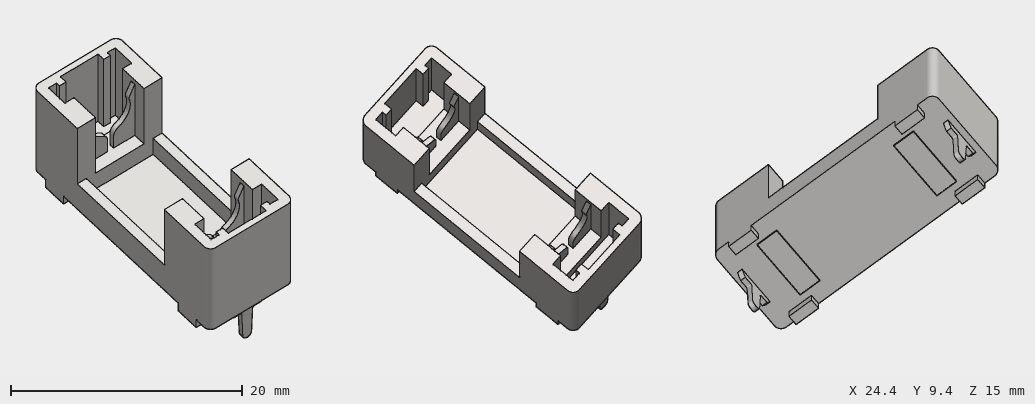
import math
import cadquery as cq

LENGTH = 24.4
WIDTH = 9.4
HEIGHT = 10.5
CORNER_RADIUS = 0.73
WALL = 1.0
TRAY_FLOOR_TOP = 1.22
SILL_TOP = 3.3
GAP_LENGTH = 12.0

POCKET_FLOOR_TOP = 1.73
POCKET_INNER_X = 8.95
POCKET_OUTER_X = 11.22
RECESS_OUTER_X = 11.6
RECESS_WIDTH = 4.17
THROAT_WIDTH = 5.37
RIB_INNER_X = 10.8
RIB_WIDTH = 0.73

FOOT_INNER_X = 7.9
FOOT_LENGTH = 2.5
FOOT_HEIGHT = 1.0

CONTACT_THICKNESS = 0.51
CONTACT_INNER_X = 7.27
CAP_RADIUS = 2.2
CAP_CENTRE_Z = 7.69
SLIT_WIDTH = 0.65
SLIT_ROUND = 1.0
LIP_ROUND = 0.5
LIP_HALF_OPENING = 2.05
LIP_ANGLE = math.radians(63)

PAD_THICKNESS = 0.2
PAD_INNER_X = 6.45
PAD_WIDTH = 6.0

PIN_OUTER_X = 11.6
PIN_LENGTH = 4.51
SHOULDER_WIDTH = 3.9
SHOULDER_END_WIDTH = 3.03
SHOULDER_DEPTH = 0.95
PIN_ROOT_WIDTH = 1.22
PIN_ROOT_ROUND = 0.12
PIN_TIP_RADIUS = 0.5

POCKET_WIDTH = WIDTH - 2 * WALL
GAP_HALF = GAP_LENGTH / 2


def block(x_range, y_range, z_range):
    """Box between the given limits."""
    (x0, x1), (y0, y1), (z0, z1) = x_range, y_range, z_range
    return cq.Workplane("XY").box(x1 - x0, y1 - y0, z1 - z0, centered=False).translate((x0, y0, z0))


def centred_block(x_range, width, z_range):
    """Box centred on the XZ plane."""
    return block(x_range, (-width / 2, width / 2), z_range)


def both_ends(body):
    """The +X feature together with its mirror image at the -X end."""
    return body.union(body.mirror("YZ"))


def make_shell():
    """Rounded block with the gap between the towers and the tray hollow cut out."""
    shell = cq.Workplane("XY").box(LENGTH, WIDTH, HEIGHT, centered=(True, True, False))
    shell = shell.edges("|Z").fillet(CORNER_RADIUS)
    gap_x = (-GAP_HALF, GAP_HALF)
    shell = shell.cut(centred_block(gap_x, WIDTH, (SILL_TOP, HEIGHT)))
    return shell.cut(centred_block(gap_x, POCKET_WIDTH, (TRAY_FLOOR_TOP, HEIGHT)))


def make_tower_cavity():
    """Void inside the +X tower, less the two guide ribs on its end wall."""
    depth = (POCKET_FLOOR_TOP, HEIGHT)
    cavity = centred_block((POCKET_INNER_X, POCKET_OUTER_X), POCKET_WIDTH, depth)
    cavity = cavity.union(centred_block((POCKET_OUTER_X, RECESS_OUTER_X), RECESS_WIDTH, depth))
    cavity = cavity.union(centred_block((GAP_HALF, POCKET_INNER_X), THROAT_WIDTH, (SILL_TOP, HEIGHT)))
    rib_y = RECESS_WIDTH / 2
    rib = block((RIB_INNER_X, POCKET_OUTER_X), (rib_y, rib_y + RIB_WIDTH), depth)
    return cavity.cut(rib).cut(rib.mirror("XZ"))


def make_feet():
    """Pair of feet under the +X tower, flush with the long sides."""
    foot_x = (FOOT_INNER_X, FOOT_INNER_X + FOOT_LENGTH)
    foot = block(foot_x, (WIDTH / 2 - WALL, WIDTH / 2), (-FOOT_HEIGHT, 0))
    return foot.union(foot.mirror("XZ"))


def arc_point(centre, radius, angle):
    """Point on a circle in the YZ plane, angle measured from +Y towards +Z."""
    return (centre[0] + radius * math.cos(angle), centre[1] + radius * math.sin(angle))


def make_contact():
    """Two mirrored spring arms: a slit, a round seat for the cap and a flared mouth."""
    cap = (0, CAP_CENTRE_Z)

    slit_y = SLIT_WIDTH / 2
    slit_centre_y = slit_y + SLIT_ROUND
    slit_angle = -math.acos(slit_centre_y / (CAP_RADIUS + SLIT_ROUND))
    slit_centre = arc_point(cap, CAP_RADIUS + SLIT_ROUND, slit_angle)
    seat_start = arc_point(cap, CAP_RADIUS, slit_angle)
    slit_mid = arc_point(slit_centre, SLIT_ROUND, math.pi + slit_angle / 2)

    lip_centre_y = LIP_HALF_OPENING + LIP_ROUND
    lip_angle = math.acos(lip_centre_y / (CAP_RADIUS + LIP_ROUND))
    lip_centre = arc_point(cap, CAP_RADIUS + LIP_ROUND, lip_angle)
    seat_end = arc_point(cap, CAP_RADIUS, lip_angle)
    lip_mid = arc_point(lip_centre, LIP_ROUND, math.pi)
    mouth_start = arc_point(lip_centre, LIP_ROUND, LIP_ANGLE + math.pi / 2)

    arm_y = THROAT_WIDTH / 2
    mouth_z = mouth_start[1] + (arm_y - mouth_start[0]) * math.tan(LIP_ANGLE)
    seat_mid = arc_point(cap, CAP_RADIUS, (slit_angle + lip_angle) / 2)
    arm = (
        cq.Workplane("YZ", origin=(CONTACT_INNER_X, 0, 0))
        .moveTo(slit_y, SILL_TOP)
        .lineTo(slit_y, slit_centre[1])
        .threePointArc(slit_mid, seat_start)
        .threePointArc(seat_mid, seat_end)
        .threePointArc(lip_mid, mouth_start)
        .lineTo(arm_y, mouth_z)
        .lineTo(arm_y, SILL_TOP)
        .close()
        .extrude(CONTACT_THICKNESS)
    )
    return arm.union(arm.mirror("XZ"))


def make_pad():
    """Thin pad on the underside, centred below the contact plate."""
    half_length = CONTACT_INNER_X + CONTACT_THICKNESS / 2 - PAD_INNER_X
    return centred_block((PAD_INNER_X, PAD_INNER_X + 2 * half_length), PAD_WIDTH, (-PAD_THICKNESS, 0))


def make_pin():
    """Flat solder pin: tapered shoulder, then a slightly tapered leg with a round tip."""
    root_y = PIN_ROOT_WIDTH / 2
    tip_z = PIN_TIP_RADIUS - PIN_LENGTH
    root_z = -SHOULDER_DEPTH - PIN_ROOT_ROUND
    root_mid = arc_point((root_y + PIN_ROOT_ROUND, root_z), PIN_ROOT_ROUND, math.radians(135))
    shoulder = [
        (SHOULDER_WIDTH / 2, 0),
        (SHOULDER_END_WIDTH / 2, -SHOULDER_DEPTH),
        (root_y + PIN_ROOT_ROUND, -SHOULDER_DEPTH),
    ]
    half_pin = (
        cq.Workplane("YZ", origin=(PIN_OUTER_X - CONTACT_THICKNESS, 0, 0))
        .polyline([(0, 0)] + shoulder)
        .threePointArc(root_mid, (root_y, root_z))
        .lineTo(PIN_TIP_RADIUS, tip_z)
        .threePointArc(arc_point((0, tip_z), PIN_TIP_RADIUS, math.radians(-45)), (0, -PIN_LENGTH))
        .close()
        .extrude(CONTACT_THICKNESS)
    )
    return half_pin.union(half_pin.mirror("XZ"))


result = make_shell().cut(both_ends(make_tower_cavity()))
for feature in (make_feet(), make_contact(), make_pad(), make_pin()):
    result = result.union(both_ends(feature))